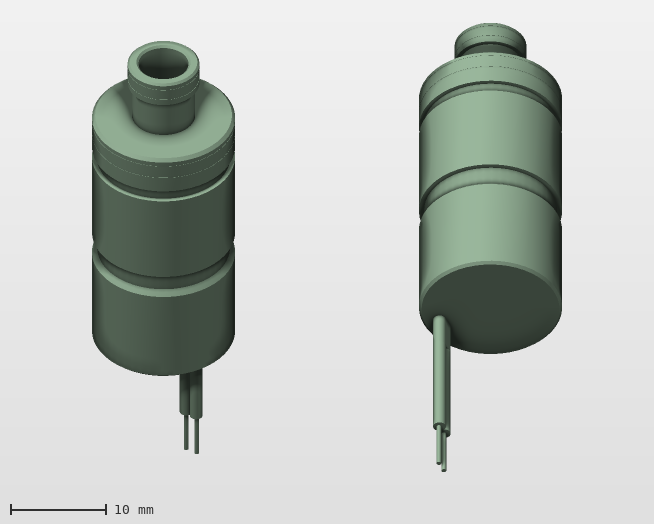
import cadquery as cq

body_diameter = 15.0
body_score_diameter = 14.9
upper_groove_diameter = 14.0
lower_groove_diameter = 13.9
body_bottom = 19.75
body_top = 49.0
body_chamfer = 0.35
bottom_chamfer = 0.3
lower_shoulder = 30.6
lower_groove_bottom = 31.2
lower_groove_top = 33.3
upper_groove_bottom = 43.45
upper_groove_top = 44.8
body_score_heights = (46.7, 48.2)

score_width = 0.15

neck_diameter = 6.6
collar_diameter = 7.5
collar_score_diameter = 7.45
bore_diameter = 5.2
overall_height = 56.1
collar_bottom = 53.35
collar_score_heights = (54.15, 55.45)
collar_chamfer = 0.2
bore_chamfer = 0.2

lead_y = 5.55
core_diameter = 1.35
core_spacing = 1.25
sleeve_bottom = 16.2
core_bottom = 5.05
pin_diameter = 0.5
pin_spacing = 1.3
pin_y = 5.6


def cylinder(diameter, bottom, top, x=0, y=0):
    """Upright cylinder between two heights."""
    return cq.Workplane("XY", origin=(x, y, bottom)).circle(diameter / 2).extrude(top - bottom)


def ring(outer_diameter, inner_diameter, bottom, top):
    """Ring used to cut a groove between two heights."""
    return cylinder(outer_diameter, bottom, top).cut(cylinder(inner_diameter, bottom, top))


def cut_scores(shape, outer_diameter, floor_diameter, heights):
    """Cut a narrow score line centred on each height."""
    for height in heights:
        bottom = height - score_width / 2
        shape = shape.cut(ring(outer_diameter, floor_diameter, bottom, bottom + score_width))
    return shape


def make_body():
    body = cylinder(body_diameter, body_bottom, body_top)
    body = body.faces(">Z").chamfer(body_chamfer)
    body = body.faces("<Z").chamfer(bottom_chamfer)
    body = cut_scores(body, body_diameter, body_score_diameter, body_score_heights)
    body = body.cut(ring(body_diameter, upper_groove_diameter, upper_groove_bottom, upper_groove_top))
    body = body.cut(ring(body_diameter, lower_groove_diameter, lower_groove_bottom, lower_groove_top))
    return body.cut(make_shoulder_cutter())


def make_shoulder_cutter():
    """Remove the corner above the conical shoulder below the lower groove."""
    profile = [
        (body_diameter / 2, lower_shoulder),
        (body_diameter / 2, lower_groove_bottom),
        (lower_groove_diameter / 2, lower_groove_bottom),
    ]
    return cq.Workplane("XZ").polyline(profile).close().revolve(360, (0, 0), (0, 1))


def make_neck():
    neck = cylinder(neck_diameter, body_top, collar_bottom)
    collar = cylinder(collar_diameter, collar_bottom, overall_height).faces(">Z").chamfer(collar_chamfer)
    collar = cut_scores(collar, collar_diameter, collar_score_diameter, collar_score_heights)
    bore = cylinder(bore_diameter, body_top, overall_height)
    neck = neck.union(collar).cut(bore)
    return neck.faces(">Z").edges(cq.selectors.RadiusNthSelector(0)).chamfer(bore_chamfer)


def make_lead():
    sleeve_length = core_spacing + core_diameter
    lead = (
        cq.Workplane("XY", origin=(0, lead_y, sleeve_bottom))
        .slot2D(sleeve_length, core_diameter)
        .extrude(body_bottom - sleeve_bottom)
    )
    for side in (-1, 1):
        lead = lead.union(cylinder(core_diameter, core_bottom, sleeve_bottom, side * core_spacing / 2, lead_y))
        lead = lead.union(cylinder(pin_diameter, 0, core_bottom, side * pin_spacing / 2, pin_y))
    return lead


result = make_body().union(make_neck()).union(make_lead())